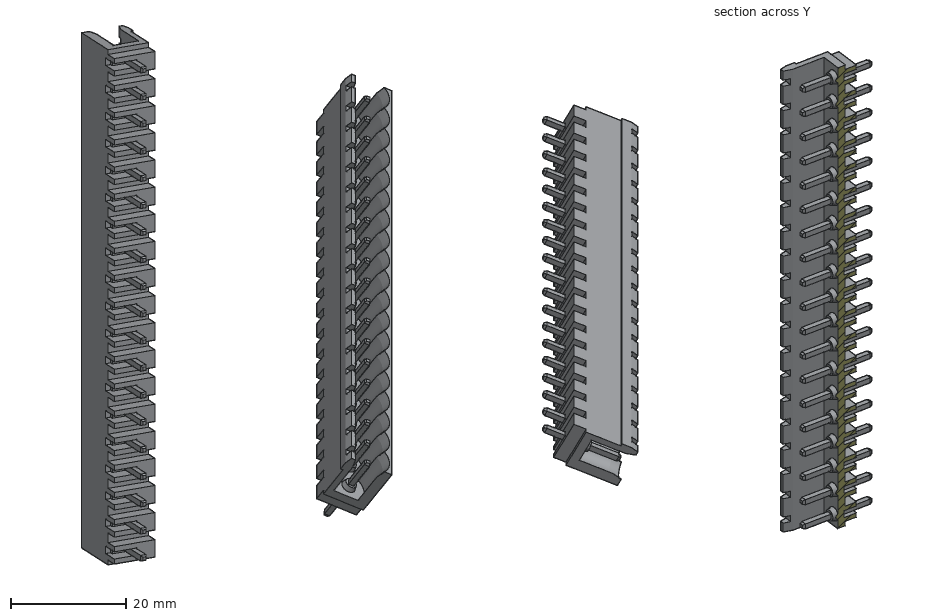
import cadquery as cq

PIN_COUNT = 19
LENGTH = 95.0
PITCH = LENGTH / PIN_COUNT
PIN_Y = 3.9

BODY_DEPTH = 10.0
CAVITY_DEPTH = 8.4
BACK_WALL_Y = 8.0
BACK_WALL_INNER_Y = 6.8

LIP_CHAMFER_X = 1.8
LIP_CHAMFER_Y = 0.5
LIP_OUTER_Y = 8.1
RIDGE_START = 1.4
RIDGE_END = 3.2
RIDGE_Y = 8.5
NOTCH_DEPTH = 1.3
NOTCH_HEIGHT = 1.2

SEAT_RADIUS = 3.1
MOUTH_RADIUS = 3.4
FLARE_DEPTH = 1.9

FOOT_END = 12.35
FOOT_HEIGHT = 3.2
SLOT_START = 9.1
SLOT_STEP_X = 9.8
SLOT_STEP_DEPTH = 0.95
SLOT_HEIGHT = 1.3

PIN_START = 1.4
PIN_END = 16.2
PIN_SIZE = 1.0
TIP_LENGTH = 0.5
TIP_INSET = 0.2
COLLAR_START = 7.4
COLLAR_TOP_RADIUS = 1.0
COLLAR_BASE_RADIUS = 1.3

pin_heights = [(i + 0.5) * PITCH for i in range(PIN_COUNT)]


def block(x_start, x_end, y_start, y_end, z_middle, height):
    """Box given by its X and Y limits, centred on z_middle."""
    size = (x_end - x_start, y_end - y_start, height)
    corner = cq.Vector(x_start, y_start, z_middle - height / 2)
    return cq.Workplane(cq.Solid.makeBox(*size, corner))


def turned_on_pin(profile, z):
    """Solid turned about the pin axis at height z from (X, radius) points."""
    axis_plane = cq.Workplane("XY", origin=(0, PIN_Y, z))
    return axis_plane.polyline(profile).close().revolve(360, (0, 0, 0), (1, 0, 0))


def make_housing():
    """U-shaped channel with the latch ridge on its +Y wall."""
    outline = [
        (0, 0),
        (BODY_DEPTH, 0),
        (BODY_DEPTH, BACK_WALL_Y),
        (RIDGE_END, BACK_WALL_Y),
        (RIDGE_END, RIDGE_Y),
        (RIDGE_START, RIDGE_Y),
        (0, LIP_OUTER_Y),
        (0, BACK_WALL_INNER_Y + LIP_CHAMFER_Y),
        (LIP_CHAMFER_X, BACK_WALL_INNER_Y),
        (CAVITY_DEPTH, BACK_WALL_INNER_Y),
        (CAVITY_DEPTH, PIN_Y),
        (0, PIN_Y),
    ]
    return cq.Workplane("XY").polyline(outline).close().extrude(LENGTH)


def make_seat(z):
    """Cutter for the -Y half of one plug seat, one pitch tall."""
    profile = [
        (0, 0),
        (0, MOUTH_RADIUS),
        (FLARE_DEPTH, SEAT_RADIUS),
        (CAVITY_DEPTH, SEAT_RADIUS),
        (CAVITY_DEPTH, 0),
    ]
    pitch_band = block(0, CAVITY_DEPTH, 0, PIN_Y, z, PITCH)
    return turned_on_pin(profile, z).intersect(pitch_band)


def make_notch(z):
    """Cutter for one gap in the lip of the +Y wall."""
    return block(0, NOTCH_DEPTH, BACK_WALL_INNER_Y, RIDGE_Y, z, NOTCH_HEIGHT)


def make_foot(z):
    """One foot across the full width of the housing."""
    return block(BODY_DEPTH, FOOT_END, 0, BACK_WALL_Y, z, FOOT_HEIGHT)


def make_slot(z):
    """Cutter that bares the pin from the -Y side, with a shallow step at its inner end."""
    slot_floor = PIN_Y + PIN_SIZE / 2
    deep = block(SLOT_STEP_X, FOOT_END, 0, slot_floor, z, SLOT_HEIGHT)
    shallow = block(SLOT_START, SLOT_STEP_X, 0, SLOT_STEP_DEPTH, z, SLOT_HEIGHT)
    return deep.union(shallow)


def make_pin(z):
    """Square pin with tapered tips and the collar where it leaves the cavity floor."""
    shaft_start = PIN_START + TIP_LENGTH
    shaft_end = PIN_END - TIP_LENGTH
    side_low = PIN_Y - PIN_SIZE / 2
    side_high = PIN_Y + PIN_SIZE / 2
    pin = block(shaft_start, shaft_end, side_low, side_high, z, PIN_SIZE)
    tip_size = PIN_SIZE - 2 * TIP_INSET
    for face, direction in ((shaft_start, -1), (shaft_end, 1)):
        tip = (
            cq.Workplane("YZ", origin=(face, PIN_Y, z))
            .rect(PIN_SIZE, PIN_SIZE)
            .workplane(offset=direction * TIP_LENGTH)
            .rect(tip_size, tip_size)
            .loft()
        )
        pin = pin.union(tip)
    collar = [
        (COLLAR_START, 0),
        (COLLAR_START, COLLAR_TOP_RADIUS),
        (CAVITY_DEPTH, COLLAR_BASE_RADIUS),
        (CAVITY_DEPTH, 0),
    ]
    return pin.union(turned_on_pin(collar, z))


def at_each_pin(make_feature):
    """All copies of one feature along the pin row."""
    return [make_feature(z).val() for z in pin_heights]


housing = make_housing().val()
housing = housing.cut(*at_each_pin(make_seat), *at_each_pin(make_notch))
housing = housing.fuse(*at_each_pin(make_foot))
housing = housing.cut(*at_each_pin(make_slot))
result = cq.Workplane(housing.fuse(*at_each_pin(make_pin)).clean())